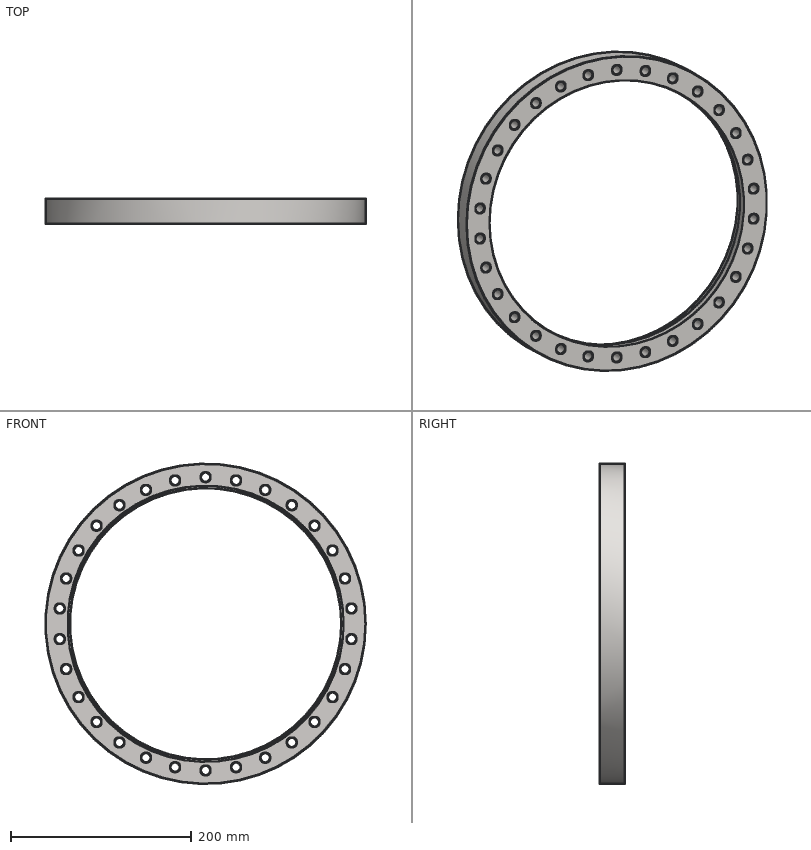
import cadquery as cq

outer_diameter = 355.5
thickness = 28.5
edge_chamfer = 0.5

recess_diameter = 306.5
lip_diameter = 301.0
recess_depth = 15.5

bolt_count = 30
bolt_circle_diameter = 325.5
bolt_hole_diameter = 10.3
first_bolt_angle = 90

front_y = -thickness / 2


def cylinder_along_y(diameter, start_y, length):
    """Solid cylinder on the Y axis, running from start_y toward +Y."""
    workplane = cq.Workplane("XZ", origin=(0, start_y, 0))
    return workplane.circle(diameter / 2).extrude(-length)


def drilled_disc():
    """Disc with the bolt circle drilled through, every edge lightly chamfered."""
    disc = cylinder_along_y(outer_diameter, front_y, thickness)
    bolt_holes = (
        cq.Workplane("XZ", origin=(0, front_y, 0))
        .polarArray(bolt_circle_diameter / 2, first_bolt_angle, 360, bolt_count)
        .circle(bolt_hole_diameter / 2)
        .extrude(-thickness)
    )
    return disc.cut(bolt_holes).edges("%CIRCLE").chamfer(edge_chamfer)


def stepped_bore():
    """Solid filling the opening: the through bore plus the wider front recess."""
    through_bore = cylinder_along_y(lip_diameter, front_y, thickness)
    recess = cylinder_along_y(recess_diameter, front_y, recess_depth)
    return through_bore.union(recess)


result = drilled_disc().cut(stepped_bore())